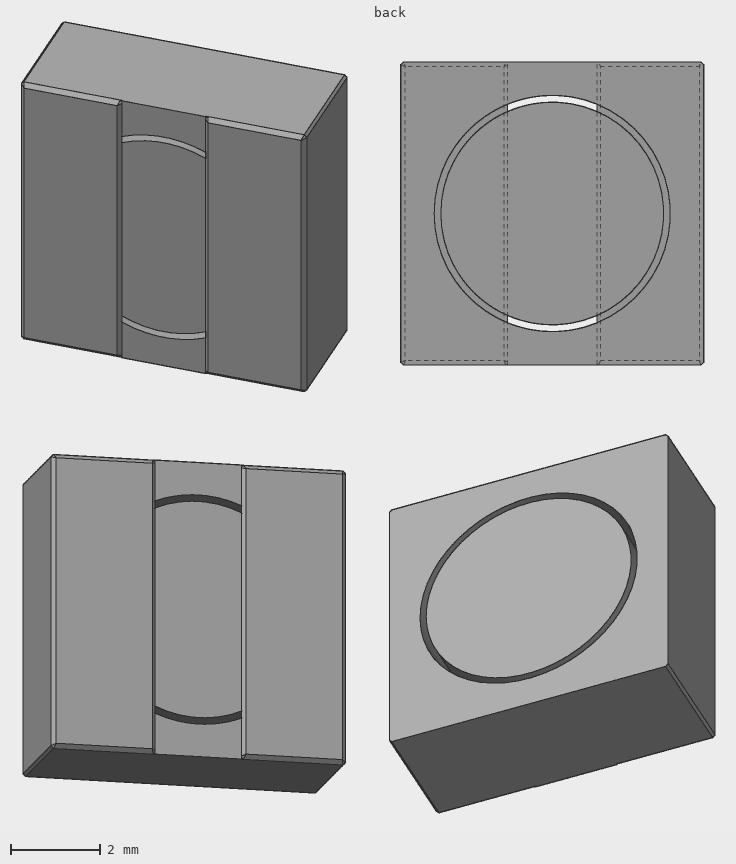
import cadquery as cq

SIDE = 6.8
DEPTH = 2.8

PAD_CHAMFER = 0.1
RECESS_DEPTH = 0.08
CHANNEL_WIDTH = 2.0
RIM_ANGLE = 45
CORNER_CUT = 0.06

CORE_RADIUS = 2.5
GAP_WIDTH = 0.15

FRONT_Y = -DEPTH / 2
BACK_Y = DEPTH / 2
PAD_BASE_Y = FRONT_Y + PAD_CHAMFER
FLOOR_Y = FRONT_Y + RECESS_DEPTH

PAD_INNER_X = CHANNEL_WIDTH / 2 - (PAD_CHAMFER - RECESS_DEPTH)
PAD_WIDTH = SIDE / 2 - PAD_INNER_X
PAD_CENTER_X = (SIDE / 2 + PAD_INNER_X) / 2


def slab(width, height, near_y, far_y, center_x=0):
    """Rectangular slab centred on Z = 0 between two Y positions."""
    thickness = far_y - near_y
    middle_y = (near_y + far_y) / 2
    return cq.Workplane("XY").box(width, thickness, height).translate((center_x, middle_y, 0))


def make_frame_and_core():
    """Square block with bevelled corners, split by a ring gap running through its depth."""
    block = slab(SIDE, SIDE, PAD_BASE_Y, BACK_Y).edges("|Y").chamfer(CORNER_CUT)
    channel_floor = slab(CHANNEL_WIDTH, SIDE, FLOOR_Y, PAD_BASE_Y)
    ring_gap = (
        cq.Workplane("XZ", origin=(0, BACK_Y, 0))
        .circle(CORE_RADIUS + GAP_WIDTH)
        .circle(CORE_RADIUS)
        .extrude(DEPTH)
    )
    return block.union(channel_floor).cut(ring_gap)


def make_pad(side):
    """Pad bridging the ring gap on one side (-1 left, +1 right), with a sloped rim."""
    pad = slab(PAD_WIDTH, SIDE, FRONT_Y, PAD_BASE_Y, side * PAD_CENTER_X)
    pad = pad.edges("|Y").chamfer(CORNER_CUT)
    base_outline = pad.faces(">Y").wires().val()
    return (
        cq.Workplane("XZ", origin=(0, PAD_BASE_Y, 0))
        .add(base_outline)
        .toPending()
        .extrude(PAD_CHAMFER, taper=RIM_ANGLE)
        .cut(slab(CHANNEL_WIDTH, SIDE, FRONT_Y, PAD_BASE_Y))
    )


result = make_frame_and_core()
for side in (-1, 1):
    result = result.union(make_pad(side))